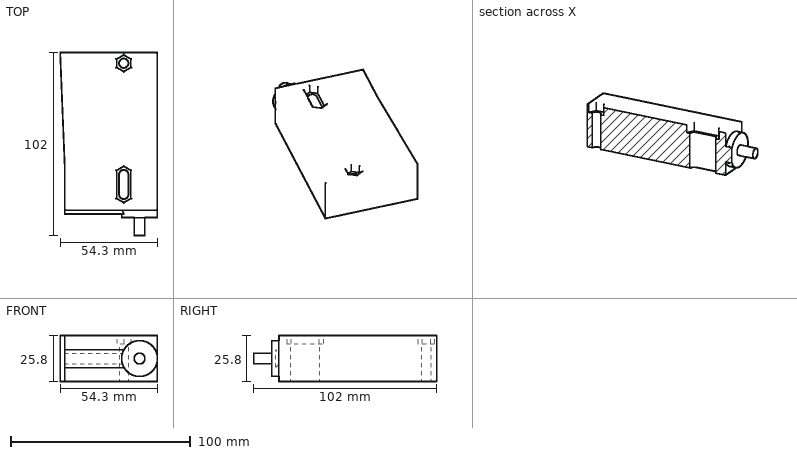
import cadquery as cq
import math

back_width = 54.28
front_width = 51.75
housing_length = 88.0
housing_height = 25.8
taper_start = 25.0
edge_radius = 0.5

rail_depth = 2.0
rail_root_width = 6.0
rail_outer_width = rail_root_width + 2 * rail_depth

flange_radius = 10.0
flange_thickness = 4.0
shaft_diameter = 6.0
shaft_length = 10.0
shaft_x = -flange_radius

mount_x = -18.8
bolt_diameter = 5.1
nut_across_flats = 8.0
nut_pocket_depth = 4.7
nut_mouth_radius = 0.5
hole_back_distance = 6.0
hole_y = housing_length - hole_back_distance
slot_y = 14.5
slot_travel = 11.0

top_z = housing_height / 2
hex_half_angle = math.radians(30)
along_y = 90


def make_housing():
    """Block with a flared left side and rounded top and bottom edges."""
    outline = [
        (0, 0),
        (0, housing_length),
        (-back_width, housing_length),
        (-front_width, taper_start),
        (-front_width, 0),
    ]
    block = cq.Workplane("XY").polyline(outline).close().extrude(housing_height)
    block = block.translate((0, 0, -top_z))
    return block.faces("|Z").edges().fillet(edge_radius)


def make_rail():
    """Dovetail rail from the left side to the shaft axis, widening away from the face."""
    root = rail_root_width / 2
    outer = rail_outer_width / 2
    profile = [(0, -root), (-rail_depth, -outer), (-rail_depth, outer), (0, root)]
    rail = cq.Workplane("YZ").polyline(profile).close().extrude(front_width + shaft_x)
    return rail.translate((-front_width, 0, 0))


def front_cylinder(radius, length):
    """Cylinder on the shaft axis, reaching forward from the front face."""
    return cq.Workplane("XZ").center(shaft_x, 0).circle(radius).extrude(length)


def nut_outline(across_flats, travel):
    """Hexagon with flats facing X, stretched along Y by the travel."""
    half_width = across_flats / 2
    corner_y = travel / 2 + half_width * math.tan(hex_half_angle)
    tip_y = travel / 2 + half_width / math.cos(hex_half_angle)
    return [
        (half_width, corner_y),
        (0, tip_y),
        (-half_width, corner_y),
        (-half_width, -corner_y),
        (0, -tip_y),
        (half_width, -corner_y),
    ]


def cut_nut_pocket(body, center_y, travel):
    """Nut pocket in the top face with a rounded mouth."""
    top = cq.Workplane("XY", origin=(mount_x, center_y, top_z))
    pocket = top.polyline(nut_outline(nut_across_flats, travel)).close().extrude(-nut_pocket_depth)
    body = body.cut(pocket)
    reach = travel + 2 * nut_across_flats
    mouth_zone = cq.selectors.BoxSelector(
        (mount_x - nut_across_flats, center_y - reach / 2, top_z - nut_mouth_radius),
        (mount_x + nut_across_flats, center_y + reach / 2, top_z + nut_mouth_radius),
    )
    mouth_edges = body.faces(">Z").edges(mouth_zone)
    return mouth_edges.fillet(nut_mouth_radius)


def cut_bolt_opening(body, center_y, travel):
    """Round hole, or a slot along Y when there is travel, through the full height."""
    base = cq.Workplane("XY", origin=(mount_x, center_y, -top_z))
    if travel > 0:
        bolt = base.slot2D(travel + bolt_diameter, bolt_diameter, along_y).extrude(housing_height)
    else:
        bolt = base.circle(bolt_diameter / 2).extrude(housing_height)
    return body.cut(bolt)


result = make_housing()
for mount_y, mount_travel in [(hole_y, 0), (slot_y, slot_travel)]:
    result = cut_nut_pocket(result, mount_y, mount_travel)
    result = cut_bolt_opening(result, mount_y, mount_travel)
result = result.union(make_rail())
result = result.union(front_cylinder(flange_radius, flange_thickness))
result = result.union(front_cylinder(shaft_diameter / 2, flange_thickness + shaft_length))